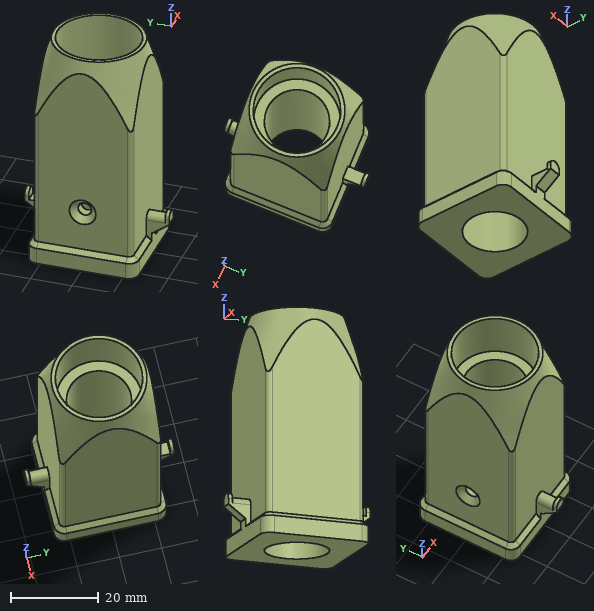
import cadquery as cq
import math

total_height = 55.0
body_width = 24.0
body_corner_radius = 1.2

base_width = 26.5
base_height = 5.15
base_ledge = (base_width - body_width) / 2
base_corner_radius = body_corner_radius + base_ledge
base_chamfer_height = 1.1

neck_top_radius = 11.0
neck_half_angle = 18.4

bore_radius = 7.5
socket_radius = 10.0
socket_depth = 12.0

screw_height = 15.0
screw_mouth_radius = 3.2
screw_hole_radius = 1.6
screw_sink_depth = screw_mouth_radius - screw_hole_radius
screw_hole_depth = 4.0

peg_width = 3.2
peg_reach = 17.5
lip_thickness = 1.0
lip_top = 12.0
peg_shelf_height = 9.4
slope_outer_height = 9.0
slope_inner_height = 5.95


def rounded_column(width, height, corner_radius):
    """Square column standing on Z = 0 with rounded vertical edges."""
    return cq.Workplane("XY").rect(width, width).extrude(height).edges("|Z").fillet(corner_radius)


def tapered_body():
    """Square sleeve trimmed by the neck cone."""
    sleeve = rounded_column(body_width, total_height, body_corner_radius)
    foot_radius = neck_top_radius + total_height * math.tan(math.radians(neck_half_angle))
    cone = cq.Workplane(cq.Solid.makeCone(foot_radius, neck_top_radius, total_height))
    return sleeve.intersect(cone)


def base_flange():
    """Rounded square flange with a sloped upper rim."""
    flange = rounded_column(base_width, base_height, base_corner_radius)
    return flange.faces(">Z").chamfer(base_chamfer_height, base_ledge)


def latch_peg():
    """Hook on the -Y side: sloped underside, flat shelf and an upright lip with a round top."""
    half_width = peg_width / 2
    base_face = -base_width / 2
    lip_inner = -peg_reach + lip_thickness
    side_profile = (
        cq.Workplane("YZ")
        .polyline([
            (0, 0),
            (base_face, 0),
            (base_face, slope_inner_height),
            (-peg_reach, slope_outer_height),
            (-peg_reach, lip_top),
            (lip_inner, lip_top),
            (lip_inner, peg_shelf_height),
            (0, peg_shelf_height),
        ])
        .close()
        .extrude(half_width, both=True)
    )
    front_outline = (
        cq.Workplane("XZ")
        .moveTo(-half_width, 0)
        .lineTo(half_width, 0)
        .lineTo(half_width, lip_top - half_width)
        .threePointArc((0, lip_top), (-half_width, lip_top - half_width))
        .close()
        .extrude(peg_reach)
    )
    return side_profile.intersect(front_outline)


def peg_saddle():
    """Half-round bar lying on the shelf of the -Y peg, from the sleeve to the lip."""
    half_width = peg_width / 2
    return (
        cq.Workplane("XZ")
        .moveTo(half_width, peg_shelf_height)
        .threePointArc((0, peg_shelf_height + half_width), (-half_width, peg_shelf_height))
        .close()
        .extrude(peg_reach - lip_thickness)
    )


def stepped_bore():
    """Through bore with a wider socket at the top."""
    bore = cq.Workplane("XY").circle(bore_radius).extrude(total_height)
    socket = cq.Workplane("XY", origin=(0, 0, total_height)).circle(socket_radius).extrude(-socket_depth)
    return bore.union(socket)


def countersunk_hole():
    """Blind, flat-bottomed screw hole with a conical mouth in the -X face."""
    mouth = cq.Vector(-body_width / 2, 0, screw_height)
    inward = cq.Vector(1, 0, 0)
    countersink = cq.Solid.makeCone(screw_mouth_radius, screw_hole_radius, screw_sink_depth, mouth, inward)
    shank = cq.Solid.makeCylinder(screw_hole_radius, screw_hole_depth, mouth, inward)
    return cq.Workplane(countersink).union(cq.Workplane(shank))


near_peg = latch_peg()
far_peg = near_peg.mirror("XZ")

solid = tapered_body().union(base_flange())
solid = solid.union(near_peg).union(far_peg).union(peg_saddle())
result = solid.cut(stepped_bore()).cut(countersunk_hole())